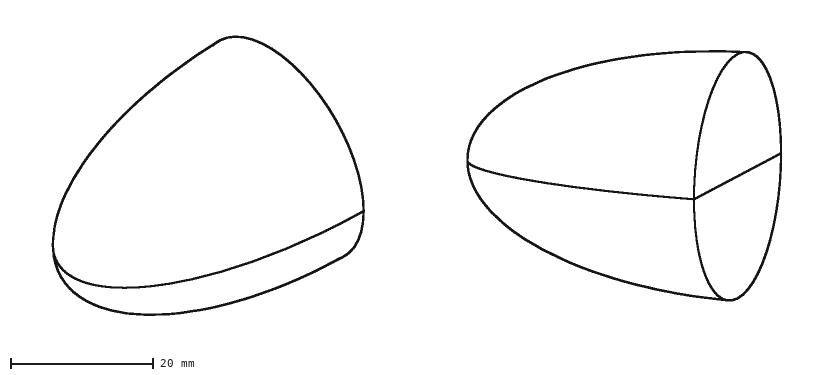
import cadquery as cq
import math

LENGTH = 40.0
BASE_DIAMETER = 35.0
LONG_SEMI_AXIS = 42.0

BASE_RADIUS = BASE_DIAMETER / 2
CENTER_Y = LONG_SEMI_AXIS - LENGTH
BASE_ANGLE = -math.asin(CENTER_Y / LONG_SEMI_AXIS)
SHORT_SEMI_AXIS = BASE_RADIUS / math.cos(BASE_ANGLE)

TIP_ANGLE_DEG = -90.0
HALF_TURN_DEG = 180.0
ORIGIN = (0, 0, 0)
AXIS_POINT = (0, 1, 0)


def nose_profile():
    """Area between the nose axis and the elliptical outline, in the XY plane."""
    return (
        cq.Workplane("XY")
        .center(0, CENTER_Y)
        .ellipseArc(
            SHORT_SEMI_AXIS,
            LONG_SEMI_AXIS,
            TIP_ANGLE_DEG,
            math.degrees(BASE_ANGLE),
            startAtCurrent=False,
        )
        .lineTo(0, -CENTER_Y)
        .close()
    )


def nose_half(turn_deg):
    """One solid half of the nose, turned about the nose axis into place."""
    half = nose_profile().revolve(HALF_TURN_DEG, ORIGIN, AXIS_POINT)
    return half.rotate(ORIGIN, AXIS_POINT, turn_deg)


nose_halves = [nose_half(turn_deg).val() for turn_deg in (0, HALF_TURN_DEG)]

result = cq.Compound.makeCompound(nose_halves)